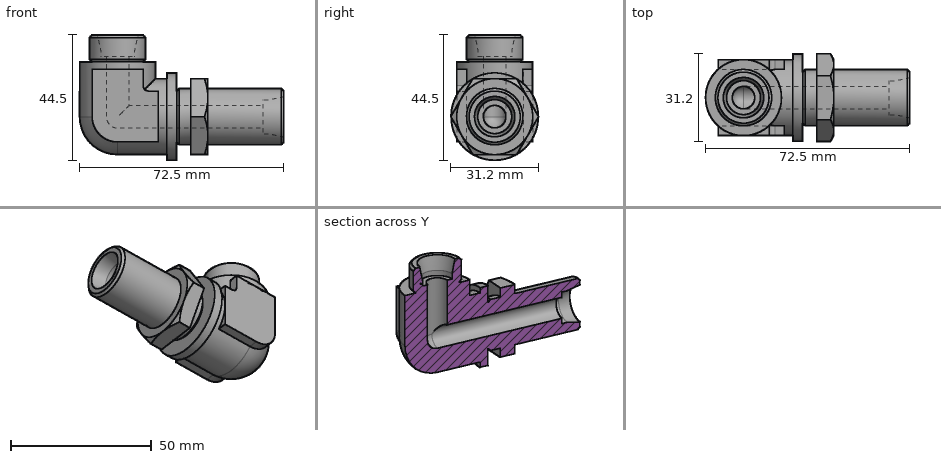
import cadquery as cq
import math


body_diameter = 27.0
body_radius = body_diameter / 2
body_top = 19.4

block_reach = 9.0
block_top = 16.8
block_end = 14.4
block_step = 9.05
block_step_fillet = 2.0

flange_diameter = 31.0
flange_start = 17.55
flange_end = 20.95

thread_diameter = 20.0
thread_chamfer = 0.95
short_port_end = 29.0
overall_length = 72.5
long_port_end = overall_length - body_radius

nut_across_flats = body_diameter
nut_start = 25.95
nut_end = 32.05
nut_chamfer_angle = 30.0

bore_diameter = 8.0
socket_mouth_diameter = 14.35
socket_floor_diameter = 12.0
socket_taper_depth = 5.45
socket_depth = 7.55


def rod(diameter, start, end):
    """Cylinder along +Z between two heights."""
    return cq.Workplane("XY").workplane(offset=start).circle(diameter / 2).extrude(end - start)


def along_x(shape):
    """Turn a shape built along +Z so that it points along +X."""
    return shape.rotate((0, 0, 0), (0, 1, 0), 90)


def threaded_end(start, end):
    """Threaded length along +Z, chamfered at both ends."""
    return rod(thread_diameter, start, end).faces("<Z or >Z").chamfer(thread_chamfer)


def port_bore(end):
    """Bore from the origin along +Z, opening into a tapered socket."""
    floor = end - socket_depth
    return (
        cq.Workplane("XZ")
        .polyline([
            (0, 0),
            (bore_diameter / 2, 0),
            (bore_diameter / 2, floor),
            (socket_floor_diameter / 2, floor),
            (socket_floor_diameter / 2, end - socket_taper_depth),
            (socket_mouth_diameter / 2, end),
            (0, end),
        ])
        .close()
        .revolve(360, (0, 0, 0), (0, 1, 0))
    )


def side_block():
    """Block with flat sides, a rounded outer corner and a stepped inner corner."""
    arc_middle = -block_reach * math.sqrt(0.5)
    profile = (
        cq.Workplane("XZ")
        .moveTo(-block_reach, block_top)
        .lineTo(-block_reach, 0)
        .threePointArc((arc_middle, arc_middle), (0, -block_reach))
        .lineTo(block_end, -block_reach)
        .lineTo(block_end, block_step)
        .lineTo(block_step + block_step_fillet, block_step)
        .radiusArc((block_step, block_step + block_step_fillet), block_step_fillet)
        .lineTo(block_step, block_top)
        .close()
    )
    return profile.extrude(body_radius, both=True)


def lock_nut():
    """Hexagon along +Z with two corners on the Y axis."""
    corner_radius = nut_across_flats / math.sqrt(3)
    nut_length = nut_end - nut_start
    hexagon = (
        cq.Workplane("XY")
        .workplane(offset=nut_start)
        .polygon(6, 2 * corner_radius)
        .extrude(nut_length)
        .rotate((0, 0, 0), (0, 0, 1), 90)
    )
    cone_base_radius = nut_across_flats / 2 + nut_length / math.tan(math.radians(nut_chamfer_angle))
    cone = (
        cq.Workplane("XZ")
        .polyline([
            (0, nut_start),
            (cone_base_radius, nut_start),
            (nut_across_flats / 2, nut_end),
            (0, nut_end),
        ])
        .close()
        .revolve(360, (0, 0, 0), (0, 1, 0))
    )
    return hexagon.intersect(cone)


elbow = (
    cq.Workplane("XY")
    .sphere(body_radius)
    .union(rod(body_diameter, 0, body_top))
    .union(along_x(rod(body_diameter, 0, flange_start)))
    .union(side_block())
)
short_port = threaded_end(body_top, short_port_end)
long_port = (
    rod(flange_diameter, flange_start, flange_end)
    .union(threaded_end(flange_end, long_port_end))
    .union(lock_nut())
)

passage = (
    cq.Workplane("XY")
    .sphere(bore_diameter / 2)
    .union(port_bore(short_port_end))
    .union(along_x(port_bore(long_port_end)))
)

result = elbow.union(short_port).union(along_x(long_port)).cut(passage)